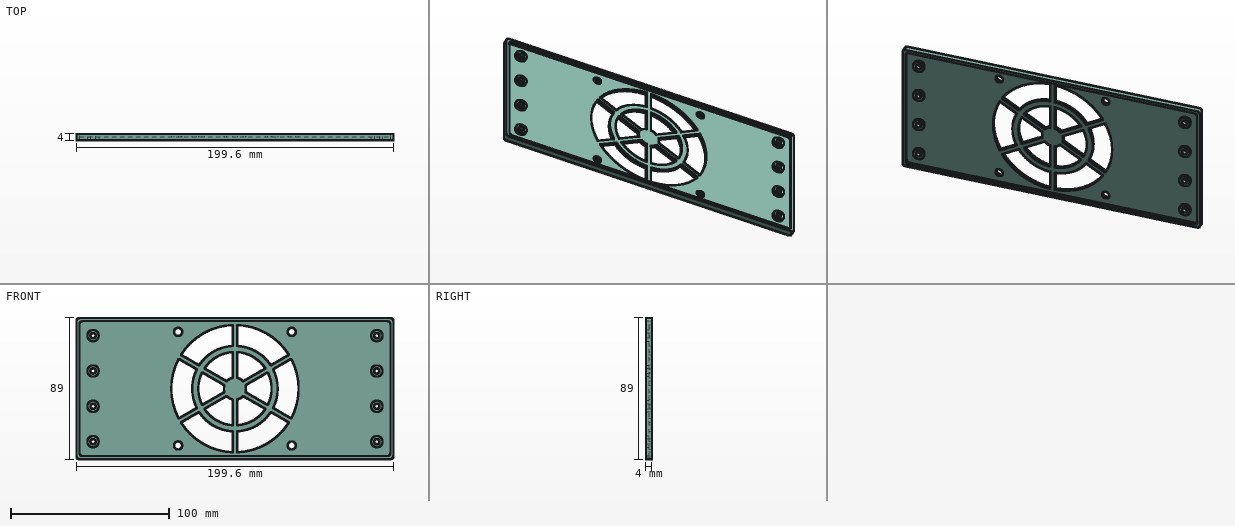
import cadquery as cq

PANEL_LENGTH = 199.6
PANEL_HEIGHT = 88.95
PANEL_THICKNESS = 4.0
CORNER_RADIUS = 2.0

RIM_WIDTH = 2.0
TRAY_DEPTH = 2.0
TRAY_CORNER_RADIUS = 2.0
FLOOR_THICKNESS = PANEL_THICKNESS - TRAY_DEPTH

BOSS_DIAMETER = 7.2
BOSS_HOLE_DIAMETER = 3.2
BOSS_EDGE_DISTANCE = 10.5
BOSS_COLUMN_SPACING = PANEL_LENGTH - 2 * BOSS_EDGE_DISTANCE
BOSSES_PER_COLUMN = 4
BOSS_PITCH = PANEL_HEIGHT / BOSSES_PER_COLUMN

FAN_OPENING_DIAMETER = 80.0
FAN_HOLE_SPACING = 71.5
FAN_HOLE_DIAMETER = 5.0
GUARD_RING_OUTER_DIAMETER = 54.0
GUARD_RING_INNER_DIAMETER = 46.0
GUARD_HUB_DIAMETER = 14.0
SPOKE_WIDTH = 3.0
SPOKE_BAR_COUNT = 3


def back_plane():
    """Workplane on the back face (Y = PANEL_THICKNESS), extruding toward -Y."""
    return cq.Workplane("XZ", origin=(0, PANEL_THICKNESS, 0))


def make_tray():
    """Rounded plate with a shallow recess that leaves a rim all round."""
    plate = (
        back_plane()
        .rect(PANEL_LENGTH, PANEL_HEIGHT)
        .extrude(PANEL_THICKNESS)
        .edges("|Y")
        .fillet(CORNER_RADIUS)
    )
    recess = (
        back_plane()
        .workplane(offset=FLOOR_THICKNESS)
        .rect(PANEL_LENGTH - 2 * RIM_WIDTH, PANEL_HEIGHT - 2 * RIM_WIDTH)
        .extrude(TRAY_DEPTH)
        .edges("|Y")
        .fillet(TRAY_CORNER_RADIUS)
    )
    return plate.cut(recess)


def add_bosses(body):
    """Raise the screw bosses from the tray floor and drill them through."""
    centers = back_plane().rarray(BOSS_COLUMN_SPACING, BOSS_PITCH, 2, BOSSES_PER_COLUMN)
    bosses = centers.circle(BOSS_DIAMETER / 2).extrude(PANEL_THICKNESS)
    holes = centers.circle(BOSS_HOLE_DIAMETER / 2).extrude(PANEL_THICKNESS)
    return body.union(bosses).cut(holes)


def make_guard():
    """Finger guard: a hub and a ring joined by bars across the fan opening."""
    hub = back_plane().circle(GUARD_HUB_DIAMETER / 2).extrude(FLOOR_THICKNESS)
    ring = (
        back_plane()
        .circle(GUARD_RING_OUTER_DIAMETER / 2)
        .circle(GUARD_RING_INNER_DIAMETER / 2)
        .extrude(FLOOR_THICKNESS)
    )
    guard = hub.union(ring)
    bar = back_plane().rect(SPOKE_WIDTH, FAN_OPENING_DIAMETER).extrude(FLOOR_THICKNESS)
    for index in range(SPOKE_BAR_COUNT):
        angle = index * 180 / SPOKE_BAR_COUNT
        guard = guard.union(bar.rotate((0, 0, 0), (0, 1, 0), angle))
    return guard


def cut_fan_opening(body):
    """Cut the fan opening around the guard, and the four fan mounting holes."""
    opening = back_plane().circle(FAN_OPENING_DIAMETER / 2).extrude(FLOOR_THICKNESS)
    mounting_holes = (
        back_plane()
        .rarray(FAN_HOLE_SPACING, FAN_HOLE_SPACING, 2, 2)
        .circle(FAN_HOLE_DIAMETER / 2)
        .extrude(FLOOR_THICKNESS)
    )
    return body.cut(opening.cut(make_guard())).cut(mounting_holes)


result = cut_fan_opening(add_bosses(make_tray()))